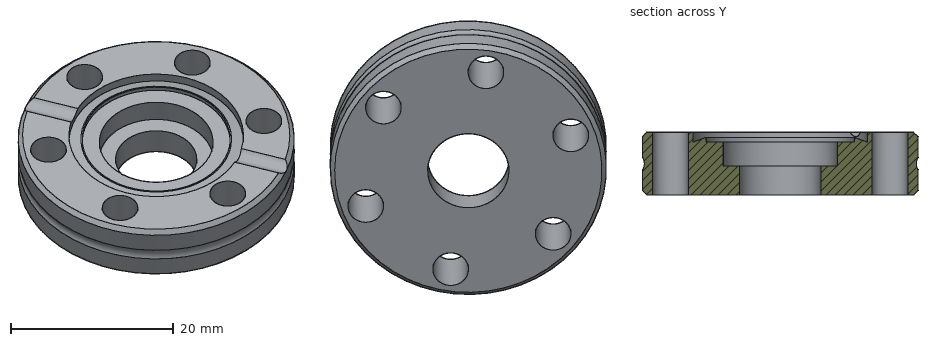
import cadquery as cq
import math

outer_diameter = 34.0
thickness = 7.75
edge_chamfer = 0.55

bore_diameter = 10.0
socket_diameter = 14.0
socket_depth = 4.15
recess_diameter = 21.5
recess_depth = 1.2
knife_edge_diameter = 18.55
knife_inner_diameter = 18.22
knife_slope = 20.0

bolt_count = 6
bolt_hole_diameter = 4.4
bolt_circle_diameter = 27.0

rim_groove_width = 1.5
rim_groove_depth = 0.2

leak_groove_width = 2.5
leak_groove_depth = 0.55
leak_groove_angle = 30.0


def groove_radius(width, depth):
    """Radius of the arc with the given chord width and depth."""
    return (width**2 / 4 + depth**2) / (2 * depth)


def flange_body():
    """Revolve the ring section, including the knife edge and rim groove."""
    outer = outer_diameter / 2
    recess = recess_diameter / 2
    knife = knife_edge_diameter / 2
    recess_floor = thickness - recess_depth
    socket_floor = thickness - socket_depth
    knife_top = recess_floor + (recess - knife) * math.tan(math.radians(knife_slope))
    groove_middle = thickness / 2
    section = (
        cq.Workplane("XZ")
        .moveTo(bore_diameter / 2, 0)
        .lineTo(outer - edge_chamfer, 0)
        .lineTo(outer, edge_chamfer)
        .lineTo(outer, groove_middle - rim_groove_width / 2)
        .threePointArc(
            (outer - rim_groove_depth, groove_middle),
            (outer, groove_middle + rim_groove_width / 2),
        )
        .lineTo(outer, thickness - edge_chamfer)
        .lineTo(outer - edge_chamfer, thickness)
        .lineTo(recess, thickness)
        .lineTo(recess, recess_floor)
        .lineTo(knife, knife_top)
        .lineTo(knife_inner_diameter / 2, knife_top)
        .lineTo(knife_inner_diameter / 2, recess_floor)
        .lineTo(socket_diameter / 2, recess_floor)
        .lineTo(socket_diameter / 2, socket_floor)
        .lineTo(bore_diameter / 2, socket_floor)
        .close()
    )
    return section.revolve(360, (0, 0, 0), (0, 1, 0))


def bolt_holes():
    """Through holes evenly spaced on the bolt circle."""
    return (
        cq.Workplane("XY")
        .polarArray(bolt_circle_diameter / 2, 0, 360, bolt_count)
        .circle(bolt_hole_diameter / 2)
        .extrude(thickness)
    )


def leak_groove(angle):
    """Cylinder that cuts a shallow groove from the recess to the rim."""
    radius = groove_radius(leak_groove_width, leak_groove_depth)
    axis_height = thickness - leak_groove_depth + radius
    start = (knife_edge_diameter + recess_diameter) / 4
    return (
        cq.Workplane("YZ", origin=(start, 0, axis_height))
        .circle(radius)
        .extrude(outer_diameter / 2)
        .rotate((0, 0, 0), (0, 0, 1), angle)
    )


result = flange_body().cut(bolt_holes())
for angle in (leak_groove_angle, leak_groove_angle + 180):
    result = result.cut(leak_groove(angle))